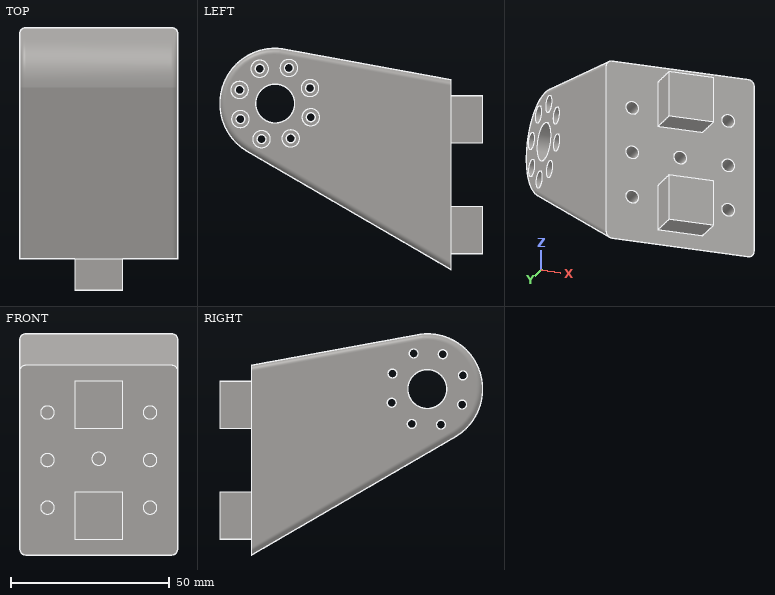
import cadquery as cq
import math


body_width = 50.0
body_length = 73.0
mounting_face_height = 60.0
overall_height = 70.0
nose_radius = 17.5
nose_y = body_length - nose_radius
nose_z = overall_height - nose_radius
top_edge_offset = 1.6
side_fillet = 2.0

bore_diameter = 12.2
screw_count = 8
screw_circle_radius = 12.0
screw_circle_angle = 24.0
screw_diameter = 2.7
screw_head_diameter = 5.5
screw_head_depth = body_width / 2

block_side = 15.0
block_length = 10.0
lower_block_z = 12.5
block_spacing = 34.9

mount_hole_diameter = 4.2
mount_hole_depth = 10.0
mount_column_x = 16.2
mount_row_pitch = 15.0
mount_row_count = 3
centre_hole_z = 30.45


def nose_point(angle):
    """Point (Y, Z) on the nose arc; the angle in radians is measured from +Y towards +Z."""
    return nose_y + nose_radius * math.cos(angle), nose_z + nose_radius * math.sin(angle)


def make_body():
    """Wedge with a round nose, extruded across the width, with rounded long edges."""
    nose_distance = math.hypot(nose_y, nose_z)
    bottom_slope = math.atan2(nose_z, nose_y) - math.asin(nose_radius / nose_distance)
    bottom_end = nose_point(bottom_slope - math.pi / 2)
    top_end = nose_point(math.pi / 2 + math.asin(top_edge_offset / nose_radius))

    body = (
        cq.Workplane("YZ")
        .moveTo(0, 0)
        .lineTo(*bottom_end)
        .threePointArc(nose_point(0), top_end)
        .lineTo(0, mounting_face_height)
        .close()
        .extrude(body_width / 2, both=True)
    )
    side_edges = body.faces("<X or >X").edges().filter(lambda edge: edge.Center().y > side_fillet)
    return side_edges.fillet(side_fillet)


def make_blocks():
    """Two square blocks standing out of the mounting face."""
    block_heights = [lower_block_z, lower_block_z + block_spacing]
    return (
        cq.Workplane("XZ")
        .pushPoints([(0, z) for z in block_heights])
        .rect(block_side, block_side)
        .extrude(block_length)
    )


def cut_pivot_holes(body):
    """Cut the bore and the screw ring along X, with the counterbores in the -X side."""
    side_plane = cq.Workplane("YZ", origin=(-body_width / 2, nose_y, nose_z))
    screw_angles = [
        math.radians(180 - screw_circle_angle + i * 360 / screw_count) for i in range(screw_count)
    ]
    screw_points = [
        (screw_circle_radius * math.cos(a), screw_circle_radius * math.sin(a)) for a in screw_angles
    ]
    bore = side_plane.circle(bore_diameter / 2).extrude(body_width)
    screws = side_plane.pushPoints(screw_points).circle(screw_diameter / 2).extrude(body_width)
    heads = side_plane.pushPoints(screw_points).circle(screw_head_diameter / 2).extrude(screw_head_depth)
    return body.cut(bore).cut(screws).cut(heads)


def cut_mount_holes(body):
    """Cut two columns of blind holes and one central hole into the mounting face."""
    points = [(0, centre_hole_z)]
    for row in range(1, mount_row_count + 1):
        for x in (-mount_column_x, mount_column_x):
            points.append((x, row * mount_row_pitch))
    holes = (
        cq.Workplane("XZ")
        .pushPoints(points)
        .circle(mount_hole_diameter / 2)
        .extrude(-mount_hole_depth)
    )
    return body.cut(holes)


result = cut_mount_holes(cut_pivot_holes(make_body())).union(make_blocks())